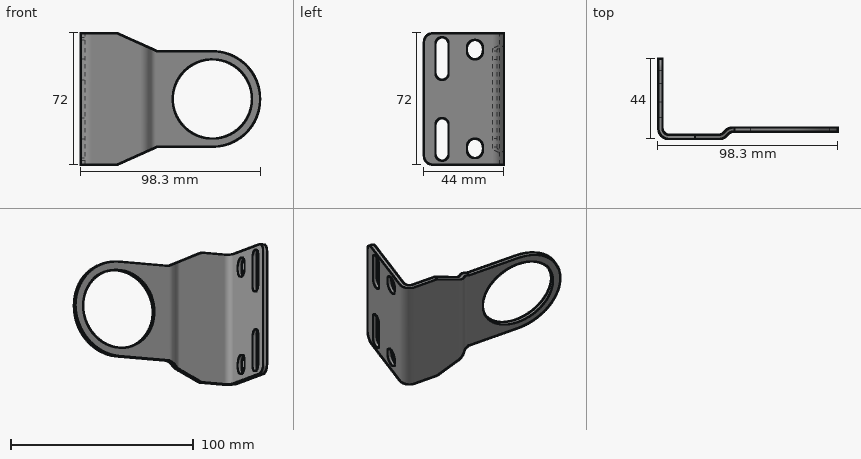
import cadquery as cq
import math

length = 98.25
depth = 44.0
height = 72.0

thickness = 2.5
outer_bend = 6.0
inner_bend = outer_bend - thickness
jog_start = 33.1
jog_offset = 4.0
jog_angle = math.radians(45)

ring_radius = 26.2
bore_diameter = 43.2
ring_x = length - ring_radius
taper_start = 20.0
taper_end = 41.8

corner_radius = 5.0
long_slot_width = 7.0
long_slot_length = 23.2
long_slot_y = 34.0
long_slot_z = 22.1
short_slot_width = 8.5
short_slot_length = 10.5
short_slot_y = 16.0
short_slot_z = 27.0


def arc_point(center, radius, angle):
    """Point at an angle measured from +X around a bend center."""
    return (center[0] + radius * math.cos(angle), center[1] + radius * math.sin(angle))


def bent_sheet():
    """Full-height sheet: flange, main wall, jog and ring wall."""
    bend_rise = (outer_bend + inner_bend) * (1 - math.cos(jog_angle))
    bend_run = (outer_bend + inner_bend) * math.sin(jog_angle)
    jog_run = bend_run + (jog_offset - bend_rise) / math.tan(jog_angle)
    jog_end = jog_start + jog_run

    corner = (outer_bend, outer_bend)
    first = (jog_start, outer_bend)
    second = (jog_end, jog_offset - inner_bend)
    down = -math.pi / 2
    up = math.pi / 2
    corner_middle = math.radians(225)
    half = jog_angle / 2

    profile = (
        cq.Workplane("XY")
        .moveTo(0, depth)
        .lineTo(0, outer_bend)
        .threePointArc(arc_point(corner, outer_bend, corner_middle), (outer_bend, 0))
        .lineTo(jog_start, 0)
        .threePointArc(
            arc_point(first, outer_bend, down + half),
            arc_point(first, outer_bend, down + jog_angle),
        )
        .lineTo(*arc_point(second, inner_bend, up + jog_angle))
        .threePointArc(arc_point(second, inner_bend, up + half), (jog_end, jog_offset))
        .lineTo(length, jog_offset)
        .lineTo(length, jog_offset + thickness)
        .lineTo(jog_end, jog_offset + thickness)
        .threePointArc(
            arc_point(second, outer_bend, up + half),
            arc_point(second, outer_bend, up + jog_angle),
        )
        .lineTo(*arc_point(first, inner_bend, down + jog_angle))
        .threePointArc(arc_point(first, inner_bend, down + half), (jog_start, thickness))
        .lineTo(outer_bend, thickness)
        .threePointArc(arc_point(corner, inner_bend, corner_middle), (thickness, outer_bend))
        .lineTo(thickness, depth)
        .close()
    )
    return profile.extrude(height / 2, both=True)


def face_outline():
    """Outline of the main wall, tapered neck and ring, with the bore."""
    half_height = height / 2
    outline = (
        cq.Workplane("XZ")
        .moveTo(0, -half_height)
        .lineTo(taper_start, -half_height)
        .lineTo(taper_end, -ring_radius)
        .lineTo(ring_x, -ring_radius)
        .threePointArc((length, 0), (ring_x, ring_radius))
        .lineTo(taper_end, ring_radius)
        .lineTo(taper_start, half_height)
        .lineTo(0, half_height)
        .close()
        .extrude(-depth)
    )
    bore = cq.Workplane("XZ").center(ring_x, 0).circle(bore_diameter / 2).extrude(-depth)
    return outline.cut(bore)


def flange_slots(slot_length, width, y, z):
    """Pair of vertical slots through the flange, mirrored about mid-height."""
    return (
        cq.Workplane("YZ")
        .pushPoints([(y, z), (y, -z)])
        .slot2D(slot_length, width, 90)
        .extrude(thickness)
    )


sheet = bent_sheet().edges("|X and >Y").fillet(corner_radius)
result = (
    sheet.intersect(face_outline())
    .cut(flange_slots(long_slot_length, long_slot_width, long_slot_y, long_slot_z))
    .cut(flange_slots(short_slot_length, short_slot_width, short_slot_y, short_slot_z))
)